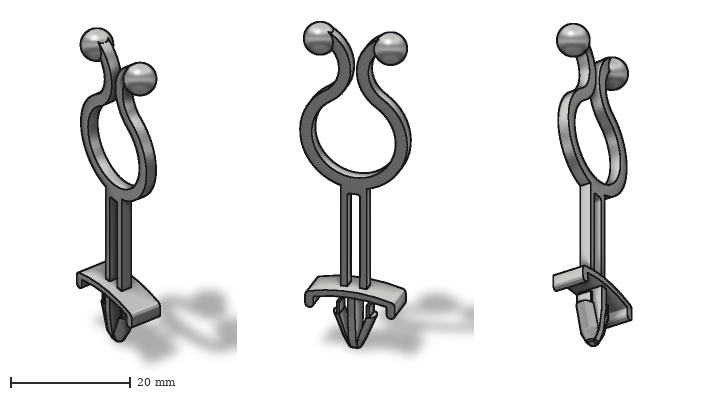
import cadquery as cq
import math

strip_width = 2.0
strip_thickness = 2.1
ring_outer_radius = 9.5
ring_inner_radius = ring_outer_radius - strip_thickness
ring_center_z = 39.4
neck_inner_radius = 5.35
neck_outer_radius = neck_inner_radius + strip_thickness
neck_center_z = 51.9
neck_end_angle = 115.0

neck_rise = neck_center_z - ring_center_z
neck_center_x = math.sqrt((ring_outer_radius + neck_inner_radius) ** 2 - neck_rise**2)
neck_start_angle = math.degrees(math.atan2(-neck_rise, -neck_center_x)) + 360

total_height = 59.3
ball_radius = 2.8
ball_x = 6.2
ball_z = total_height - ball_radius

leg_outer_x = 2.3
leg_inner_x = 1.1
slot_top_z = 28.9
slot_fillet = 0.5

plate_width = 5.9
plate_half_length = 7.95
plate_top_z = 11.55
plate_thickness = 1.1
arch_radius = 28.45
lip_thickness = 1.5
lip_bottom_z = 7.6
plate_corner_radius = 0.9
lip_inner_fillet = 0.25

post_half_thickness = 0.65
post_half_width = 2.25
barb_top_z = 6.4
shoulder_z = 2.1
shoulder_half_width = 1.7
tip_z = 0.3
tip_half_width = 0.9
tip_end_half_width = 0.55

barb_sections = [
    (0.0, 0.4, 0.85, tip_end_half_width),
    (tip_z, 0.6, 1.1, tip_half_width),
    (shoulder_z, 0.9, 2.0, shoulder_half_width),
    (barb_top_z, 2.4, 3.8, 1.6),
]

tab_inner_x = 2.4
tab_thickness = 0.5
tab_half_width = 1.35
tab_top_z = 8.55


def centered_extrude(sketch, width):
    """Extrude an XZ outline equally to both sides of the XZ plane."""
    return sketch.extrude(width / 2, both=True)


def arc_band(center_x, center_z, inner, outer, start, end):
    """Curved strip between two radii, with start and end angles in degrees."""

    def point(radius, angle):
        a = math.radians(angle)
        return (center_x + radius * math.cos(a), center_z + radius * math.sin(a))

    middle = (start + end) / 2
    outline = (
        cq.Workplane("XZ")
        .moveTo(*point(outer, start))
        .threePointArc(point(outer, middle), point(outer, end))
        .lineTo(*point(inner, end))
        .threePointArc(point(inner, middle), point(inner, start))
        .close()
    )
    return centered_extrude(outline, strip_width)


def arch_z(x, radius):
    """Height of an arch surface of the given radius at position x."""
    arch_center_z = plate_top_z - arch_radius
    return arch_center_z + math.sqrt(radius**2 - x**2)


def make_ring():
    """Open ring ending where it is tangent to the two necks."""
    right_end = neck_start_angle - 180
    left_end = -180 - right_end
    return arc_band(0, ring_center_z, ring_inner_radius, ring_outer_radius, left_end, right_end)


def make_neck():
    """Outward-curling +X neck with its end ball."""
    neck = arc_band(
        neck_center_x, neck_center_z, neck_inner_radius, neck_outer_radius, neck_end_angle, neck_start_angle
    )
    ball = cq.Workplane("XY").sphere(ball_radius).translate((ball_x, 0, ball_z))
    return neck.union(ball)


def make_legs():
    legs_bottom_z = plate_top_z - plate_thickness / 2
    legs_top_z = ring_center_z - (ring_inner_radius + ring_outer_radius) / 2
    legs = cq.Workplane("XY").box(
        2 * leg_outer_x, strip_width, legs_top_z - legs_bottom_z, centered=(True, True, False)
    )
    slot = cq.Workplane("XY").box(
        2 * leg_inner_x, strip_width, slot_top_z - legs_bottom_z, centered=(True, True, False)
    )
    slot = slot.edges("|Y and >Z").fillet(slot_fillet)
    return legs.cut(slot).translate((0, 0, legs_bottom_z))


def make_plate():
    end_x = plate_half_length
    lip_x = end_x - lip_thickness
    lip_radius = lip_thickness / 2
    lip_center_x = end_x - lip_radius
    lip_arc_z = lip_bottom_z + lip_radius
    under_radius = arch_radius - plate_thickness
    end_z = arch_z(end_x, arch_radius)
    lip_z = arch_z(lip_x, under_radius)
    outline = (
        cq.Workplane("XZ")
        .moveTo(-end_x, end_z)
        .threePointArc((0, plate_top_z), (end_x, end_z))
        .lineTo(end_x, lip_arc_z)
        .threePointArc((lip_center_x, lip_bottom_z), (lip_x, lip_arc_z))
        .lineTo(lip_x, lip_z)
        .threePointArc((0, plate_top_z - plate_thickness), (-lip_x, lip_z))
        .lineTo(-lip_x, lip_arc_z)
        .threePointArc((-lip_center_x, lip_bottom_z), (-end_x, lip_arc_z))
        .close()
    )
    plate = centered_extrude(outline, plate_width)
    for x, z, radius in ((end_x, end_z, plate_corner_radius), (lip_x, lip_z, lip_inner_fillet)):
        for side in (-1, 1):
            corner = cq.selectors.NearestToPointSelector((side * x, 0, z))
            plate = plate.edges("|Y").edges(corner).fillet(radius)
    return plate


def make_post():
    """Flat central blade, tapering in width towards the tip."""
    half_profile = [
        (post_half_width, plate_top_z - plate_thickness / 2),
        (post_half_width, barb_top_z),
        (shoulder_half_width, shoulder_z),
        (tip_half_width, tip_z),
        (tip_end_half_width, 0),
    ]
    mirrored = [(-y, z) for y, z in reversed(half_profile)]
    outline = cq.Workplane("YZ").polyline(half_profile + mirrored).close()
    return outline.extrude(post_half_thickness, both=True)


def make_barb():
    """Flared +X arm with a flat inner face, a rounded outer face and a thin tab on top."""
    barb = cq.Workplane("XY")
    for lower, upper in zip(barb_sections, barb_sections[1:]):
        sections = cq.Workplane("XY")
        base_z = 0
        for z, inner_x, outer_x, half_width in (lower, upper):
            sections = (
                sections.workplane(offset=z - base_z)
                .moveTo(inner_x, -half_width)
                .threePointArc((outer_x, 0), (inner_x, half_width))
                .close()
            )
            base_z = z
        barb = barb.union(sections.loft(ruled=True, combine=True))
    tab = cq.Workplane("XY").box(
        tab_thickness, 2 * tab_half_width, tab_top_z - barb_top_z, centered=(False, True, False)
    )
    return barb.union(tab.translate((tab_inner_x, 0, barb_top_z)))


result = make_legs().union(make_plate()).union(make_post()).union(make_ring())
for side_part in (make_neck(), make_barb()):
    result = result.union(side_part).union(side_part.mirror("YZ"))